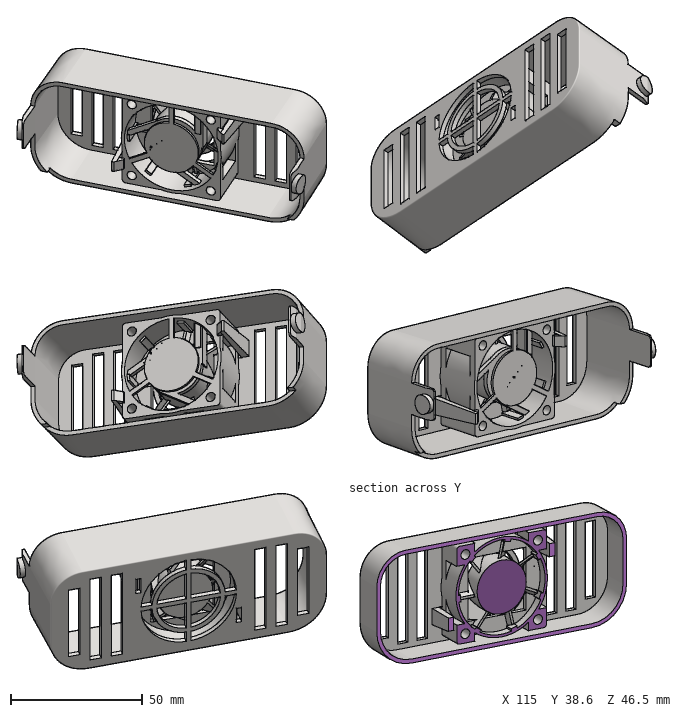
import cadquery as cq
import math


HALF_WIDTH = 55.3
HALF_HEIGHT = 23.29
TOP_RADIUS = 13.0
BOTTOM_RADIUS = 15.5
DEPTH = 26.5
DRAFT_ANGLE = 0.8
CAVITY_DRAFT_ANGLE = 1.2
WALL = 1.7
BACK_WALL = 2.1
BACK_EDGE_RADIUS = 0.5
LIP_CUT_Z = -18.4
LIP_CUT_DEPTH = 3.1
FLOOR_Y = DEPTH - BACK_WALL
DRAFT_SLOPE = math.tan(math.radians(DRAFT_ANGLE))

SLOT_WIDTH = 4.5
SLOT_PITCH = 8.5
LONG_SLOT = 37.7
SHORT_SLOT = 31.1
FIRST_SLOT_X = 28.5
SLOTS = [
    (FIRST_SLOT_X, LONG_SLOT),
    (FIRST_SLOT_X + SLOT_PITCH, LONG_SLOT),
    (FIRST_SLOT_X + 2 * SLOT_PITCH, SHORT_SLOT),
]

TAB_LENGTH = 12.1
TAB_HEIGHT = 12.5
TAB_TOP_Z = HALF_HEIGHT - TOP_RADIUS
TAB_MIDDLE_Z = TAB_TOP_Z - TAB_HEIGHT / 2
TAB_CORNER = 1.4
PIN_RADIUS = 3.8
PIN_Y = PIN_RADIUS - TAB_LENGTH
PIN_TIP_X = 57.5
TIP_BEVEL = 1.0

FAN_Z = 0.6
FAN_SIDE = 39.7
FAN_CORNER = 1.4
FAN_DEPTH = 20.0
FAN_FRONT_Y = FLOOR_Y - FAN_DEPTH
FLANGE = 3.0
BARREL_RADIUS = 20.2
BORE_RADIUS = 19.0
SCREW_SPACING = 32.0
SCREW_HOLE = 3.7
CORNER_COLUMN = 8.0
HUB_RADIUS = 10.9
GUARD_THICKNESS = 1.0
GUARD_BAR_WIDTH = 2.0
BAFFLE_Y = 16.8
BAFFLE_THICKNESS = 2.0
WINDOW_SIDE = 25.4
RIB_COUNT = 7
RIB_WIDTH = 2.8
RIB_INNER_RADIUS = 18.1
RIB_FRONT_Y = 7.4

MOUNT_Y = 7.8
MOUNT_THICKNESS = 2.0
MOUNT_BAR_WIDTH = 2.2
MOUNT_BAR_OFFSET = 9.8
CABLE_DUCT_WIDTH = 3.5
CABLE_DUCT_DEPTH = 4.6
CABLE_COVER_START = 6.7
CABLE_COVER_RISE = 0.7

BLADE_COUNT = RIB_COUNT
BLADE_TIP_RADIUS = 18.0
BLADE_PITCH = 47.0
BLADE_FRONT_Y = 15.4
BLADE_DEPTH = 6.3
BLADE_BAND = 1.0
BLADE_OFFSET = 1.7
BLADE_SWEEP = BLADE_DEPTH / math.tan(math.radians(BLADE_PITCH))
FIRST_BLADE_ANGLE = 77.3
FIT_GAP = 0.1

GRILLE_OUTER_RADIUS = 14.6
GRILLE_INNER_RADIUS = 12.7
SPOKE_WIDTH = 2.0

CLIP_Z = 11.6
CLIP_INNER_X = 21.0
CLIP_OUTER_X = 24.2
CLIP_HEIGHT = 6.5
CLIP_TIP_Y = 0.6
HOOK_HEIGHT = 4.3
HOOK_INNER_X = 19.0
HOOK_TIP_X = 21.9
HOOK_EDGE = 1.0
CLIP_TIP_OUTER_X = 22.8
POST_BLADE = 0.8
POST_LENGTH = FLANGE

SMALL_GRAIN = 0.1
LARGE_GRAIN = 0.5
GRAINS = [
    (-1.6, -1.6, 7.0, SMALL_GRAIN),
    (-3.7, -1.6, 5.1, SMALL_GRAIN),
    (-5.9, -2.1, 3.5, LARGE_GRAIN),
    (-6.8, -0.6, 1.2, SMALL_GRAIN),
    (-8.9, -1.7, 0.1, SMALL_GRAIN),
    (14.7, 13.8, 6.1, SMALL_GRAIN),
]


def block(x0, x1, y0, y1, z0, z1):
    """Box between two opposite corners."""
    return cq.Workplane("XY").box(x1 - x0, y1 - y0, z1 - z0, centered=False).translate((x0, y0, z0))


def facing_plane(y, z=0.0):
    """Sketch plane seen from the rim side; a negative extrusion goes toward the back wall."""
    return cq.Workplane("XZ", origin=(0, y, z))


def disc(radius, y0, y1):
    """Round disc on the fan axis."""
    return facing_plane(y0, FAN_Z).circle(radius).extrude(y0 - y1)


def turned_about_fan(body, angle):
    """Body turned counterclockwise, as seen from the rim, about the fan axis."""
    return body.rotate((0, 0, FAN_Z), (0, -1, FAN_Z), angle)


def radial_bar(width, y0, y1):
    """Bar from the fan axis straight up into the barrel."""
    middle_r = (BORE_RADIUS + BARREL_RADIUS) / 2
    return block(-width / 2, width / 2, y0, y1, FAN_Z, FAN_Z + middle_r)



def drafted_block(inset, depth, draft_angle):
    """Rounded block that narrows from the rim toward the back."""
    half_w = HALF_WIDTH - inset
    half_h = HALF_HEIGHT - inset
    top_r = TOP_RADIUS - inset
    bottom_r = BOTTOM_RADIUS - inset
    top_bend = top_r * (1 - math.sqrt(0.5))
    bottom_bend = bottom_r * (1 - math.sqrt(0.5))
    return (
        facing_plane(0)
        .moveTo(-half_w + top_r, half_h)
        .lineTo(half_w - top_r, half_h)
        .threePointArc((half_w - top_bend, half_h - top_bend), (half_w, half_h - top_r))
        .lineTo(half_w, -half_h + bottom_r)
        .threePointArc((half_w - bottom_bend, -half_h + bottom_bend), (half_w - bottom_r, -half_h))
        .lineTo(-half_w + bottom_r, -half_h)
        .threePointArc((-half_w + bottom_bend, -half_h + bottom_bend), (-half_w, -half_h + bottom_r))
        .lineTo(-half_w, half_h - top_r)
        .threePointArc((-half_w + top_bend, half_h - top_bend), (-half_w + top_r, half_h))
        .close()
        .extrude(-depth, taper=draft_angle)
    )


def shell():
    """Open box with a shortened lower lip."""
    body = drafted_block(0, DEPTH, DRAFT_ANGLE).faces(">Y").edges().fillet(BACK_EDGE_RADIUS)
    body = body.cut(drafted_block(WALL, FLOOR_Y, CAVITY_DRAFT_ANGLE))
    lip = block(-HALF_WIDTH, HALF_WIDTH, 0, LIP_CUT_DEPTH, -HALF_HEIGHT, LIP_CUT_Z)
    return body.cut(lip)


def right_tab():
    """Tab that carries on the drafted side wall, with a pin; both tips are bevelled outward."""
    end_y = -TAB_LENGTH
    bevel_start_x = HALF_WIDTH - PIN_Y * DRAFT_SLOPE
    inner_root_x = HALF_WIDTH - WALL
    inner_end_x = inner_root_x + TAB_LENGTH * DRAFT_SLOPE
    tab = (
        cq.Workplane("XY", origin=(0, 0, TAB_TOP_Z - TAB_HEIGHT))
        .polyline([
            (inner_root_x, 0),
            (HALF_WIDTH, 0),
            (bevel_start_x, PIN_Y),
            (bevel_start_x - TIP_BEVEL, end_y),
            (inner_end_x, end_y),
        ])
        .close()
        .extrude(TAB_HEIGHT)
    )
    rounded_outline = (
        cq.Workplane("YZ")
        .center(end_y + DEPTH / 2, TAB_MIDDLE_Z)
        .rect(DEPTH, TAB_HEIGHT)
        .extrude(PIN_TIP_X)
        .edges("|X and <Y")
        .fillet(TAB_CORNER)
    )
    pin = (
        cq.Workplane("YZ", origin=(HALF_WIDTH - WALL / 2, PIN_Y, TAB_MIDDLE_Z))
        .circle(PIN_RADIUS)
        .extrude(PIN_TIP_X - HALF_WIDTH + WALL / 2)
    )
    pin_bevel = (
        cq.Workplane("XY", origin=(0, 0, TAB_MIDDLE_Z))
        .polyline([(PIN_TIP_X, PIN_Y), (PIN_TIP_X, end_y), (PIN_TIP_X - TIP_BEVEL, end_y)])
        .close()
        .extrude(PIN_RADIUS, both=True)
    )
    inside = block(0, inner_end_x, end_y, 0, -HALF_HEIGHT, HALF_HEIGHT)
    return tab.intersect(rounded_outline).union(pin.cut(pin_bevel).cut(inside))


def right_clip():
    """Tapered arm beside the fan with a hook over its front face and a sloped lead-in."""
    base_width = CLIP_OUTER_X - CLIP_INNER_X
    tip_width = CLIP_TIP_OUTER_X - CLIP_INNER_X
    arm = (
        facing_plane(FLOOR_Y, CLIP_Z)
        .center(CLIP_INNER_X + base_width / 2, 0)
        .rect(base_width, CLIP_HEIGHT)
        .workplane(offset=FLOOR_Y - CLIP_TIP_Y)
        .center((tip_width - base_width) / 2, 0)
        .rect(tip_width, HOOK_HEIGHT)
        .loft(combine=True)
    )
    hook = (
        cq.Workplane("XY", origin=(0, 0, CLIP_Z - HOOK_HEIGHT / 2))
        .polyline([
            (HOOK_INNER_X, FAN_FRONT_Y),
            (HOOK_TIP_X, FAN_FRONT_Y),
            (HOOK_TIP_X, CLIP_TIP_Y),
            (HOOK_INNER_X, FAN_FRONT_Y - HOOK_EDGE),
        ])
        .close()
        .extrude(HOOK_HEIGHT)
    )
    ramp = (
        cq.Workplane("XY", origin=(0, 0, CLIP_Z - CLIP_HEIGHT / 2))
        .polyline([
            (HOOK_INNER_X, FAN_FRONT_Y - HOOK_EDGE),
            (HOOK_TIP_X, CLIP_TIP_Y),
            (HOOK_INNER_X, CLIP_TIP_Y),
        ])
        .close()
        .extrude(CLIP_HEIGHT)
    )
    return arm.union(hook).cut(ramp)


def clip_window():
    """Opening in the back wall below the hook."""
    half = CLIP_HEIGHT / 2
    return block(HOOK_INNER_X, CLIP_INNER_X, FLOOR_Y, DEPTH, CLIP_Z - half, CLIP_Z + half)


def locating_post(x, z):
    """Cross-shaped post that fills a screw hole of the rear fan flange."""
    root_y = FLOOR_Y + BACK_WALL / 2
    length = root_y - FLOOR_Y + POST_LENGTH
    bars = facing_plane(root_y).center(x, z).rect(SCREW_HOLE, POST_BLADE).extrude(length)
    bars = bars.union(facing_plane(root_y).center(x, z).rect(POST_BLADE, SCREW_HOLE).extrude(length))
    return bars.intersect(facing_plane(root_y).center(x, z).circle(SCREW_HOLE / 2).extrude(length))


def half_turn(body):
    """Body moved to the opposite side of the fan axis."""
    return turned_about_fan(body, 180)


def fan_grille():
    """Ring on a cross of spokes in the round opening of the back wall."""
    grille = disc(GRILLE_OUTER_RADIUS, FLOOR_Y, DEPTH).cut(disc(GRILLE_INNER_RADIUS, FLOOR_Y, DEPTH))
    for angle in (0, 90, 180, 270):
        grille = grille.union(turned_about_fan(radial_bar(SPOKE_WIDTH, FLOOR_Y, DEPTH), angle))
    return grille


def make_housing():
    body = shell()
    tab = right_tab()
    body = body.union(tab).union(tab.mirror("YZ"))
    for distance, length in SLOTS:
        for x in (-distance, distance):
            body = body.cut(
                facing_plane(FLOOR_Y).center(x, 0).rect(SLOT_WIDTH, length).extrude(-BACK_WALL)
            )
    body = body.cut(disc(BORE_RADIUS, FLOOR_Y, DEPTH)).union(fan_grille())
    clip = right_clip()
    body = body.cut(clip_window()).cut(half_turn(clip_window()))
    body = body.union(clip).union(half_turn(clip))
    reach = SCREW_SPACING / 2
    body = body.union(locating_post(-reach, FAN_Z + reach))
    return body.union(locating_post(reach, FAN_Z - reach))



def square_plate(y, thickness):
    return (
        facing_plane(y, FAN_Z)
        .rect(FAN_SIDE, FAN_SIDE)
        .extrude(-thickness)
        .edges("|Y")
        .fillet(FAN_CORNER)
    )


def corner_columns():
    """Square columns around the screw holes, joining the two flanges."""
    spacing = FAN_SIDE - CORNER_COLUMN
    columns = (
        facing_plane(FAN_FRONT_Y, FAN_Z)
        .rect(spacing, spacing, forConstruction=True)
        .vertices()
        .rect(CORNER_COLUMN, CORNER_COLUMN)
        .extrude(-FAN_DEPTH)
    )
    return columns.intersect(square_plate(FAN_FRONT_Y, FAN_DEPTH))


def bore_ribs():
    """Low ribs along the bore, from the motor mount to the baffle."""
    low_z = FAN_Z + BLADE_OFFSET + BLADE_BAND - RIB_WIDTH
    rib = block(0, BARREL_RADIUS, RIB_FRONT_Y, BAFFLE_Y, low_z, low_z + RIB_WIDTH)
    ring = disc((BORE_RADIUS + BARREL_RADIUS) / 2, RIB_FRONT_Y, BAFFLE_Y)
    ring = ring.cut(disc(RIB_INNER_RADIUS, RIB_FRONT_Y, BAFFLE_Y))
    ribs = cq.Workplane("XY")
    for index in range(RIB_COUNT):
        ribs = ribs.union(turned_about_fan(rib, FIRST_BLADE_ANGLE + index * 360 / RIB_COUNT))
    return ribs.intersect(ring)


def front_guard():
    back_y = FAN_FRONT_Y + GUARD_THICKNESS
    guard = disc(HUB_RADIUS, FAN_FRONT_Y, back_y)
    bar = radial_bar(GUARD_BAR_WIDTH, FAN_FRONT_Y, back_y)
    for angle in (0, 120, 240):
        guard = guard.union(turned_about_fan(bar, angle))
    return guard


def motor_mount():
    back_y = MOUNT_Y + MOUNT_THICKNESS
    mount = disc(HUB_RADIUS, MOUNT_Y, back_y)
    bar = radial_bar(MOUNT_BAR_WIDTH, MOUNT_Y, back_y).translate((MOUNT_BAR_OFFSET, 0, 0))
    for angle in (0, 120, 240):
        mount = mount.union(turned_about_fan(bar, angle))
    duct = radial_bar(CABLE_DUCT_WIDTH, MOUNT_Y, MOUNT_Y + CABLE_DUCT_DEPTH)
    duct = duct.translate((MOUNT_BAR_OFFSET, 0, 0)).cut(disc(HUB_RADIUS + FIT_GAP, back_y, FLOOR_Y))
    cover = radial_bar(MOUNT_BAR_WIDTH, MOUNT_Y - CABLE_COVER_RISE, MOUNT_Y)
    cover = cover.translate((MOUNT_BAR_OFFSET, 0, 0))
    below_cover = block(
        0, BORE_RADIUS, MOUNT_Y - CABLE_COVER_RISE, MOUNT_Y, FAN_Z, FAN_Z + CABLE_COVER_START
    )
    mount = mount.union(duct).union(cover.cut(below_cover))
    return mount.intersect(disc((BORE_RADIUS + BARREL_RADIUS) / 2, FAN_FRONT_Y, FLOOR_Y))


def make_fan_frame():
    """Two square flanges on a barrel, with baffle, front guard and motor mount inside."""
    body = disc(BARREL_RADIUS, FAN_FRONT_Y, FLOOR_Y)
    body = body.union(square_plate(FAN_FRONT_Y, FLANGE))
    body = body.union(square_plate(FLOOR_Y - FLANGE, FLANGE))
    body = body.union(corner_columns())
    body = body.cut(disc(BORE_RADIUS, FAN_FRONT_Y, FLOOR_Y)).union(bore_ribs())
    baffle = disc((BORE_RADIUS + BARREL_RADIUS) / 2, BAFFLE_Y, BAFFLE_Y + BAFFLE_THICKNESS)
    window = facing_plane(BAFFLE_Y, FAN_Z).rect(WINDOW_SIDE, WINDOW_SIDE).extrude(-BAFFLE_THICKNESS)
    body = body.union(baffle.cut(window)).union(front_guard()).union(motor_mount())
    holes = (
        facing_plane(FAN_FRONT_Y, FAN_Z)
        .rect(SCREW_SPACING, SCREW_SPACING, forConstruction=True)
        .vertices()
        .circle(SCREW_HOLE / 2)
        .extrude(-FAN_DEPTH)
    )
    return body.cut(holes)



def blade():
    """Flat slanted blade along the +X side of the hub."""
    root_z = FAN_Z + BLADE_OFFSET
    back_y = BLADE_FRONT_Y + BLADE_DEPTH
    return (
        cq.Workplane("YZ")
        .polyline([
            (BLADE_FRONT_Y, root_z),
            (BLADE_FRONT_Y, root_z + BLADE_BAND),
            (back_y, root_z + BLADE_BAND - BLADE_SWEEP),
            (back_y, root_z - BLADE_SWEEP),
        ])
        .close()
        .extrude(BORE_RADIUS)
    )


def make_rotor():
    """Hub with blades whose rear parts are trimmed to pass through the baffle window."""
    back_y = BLADE_FRONT_Y + BLADE_DEPTH
    body = disc(HUB_RADIUS, MOUNT_Y + MOUNT_THICKNESS, back_y)
    for index in range(BLADE_COUNT):
        body = body.union(turned_about_fan(blade(), FIRST_BLADE_ANGLE + index * 360 / BLADE_COUNT))
    fitting_side = WINDOW_SIDE - 2 * FIT_GAP
    envelope = disc(BLADE_TIP_RADIUS, FAN_FRONT_Y, BAFFLE_Y).union(
        facing_plane(BAFFLE_Y, FAN_Z).rect(fitting_side, fitting_side).extrude(BAFFLE_Y - back_y)
    )
    return body.intersect(envelope)



def make_grain(x, y, z, size):
    return cq.Workplane("XY").box(size, size, size).translate((x, y, z))


housing = make_housing()
fan_frame = make_fan_frame()
rotor = make_rotor()
grains = [make_grain(*grain).val() for grain in GRAINS]

result = cq.Compound.makeCompound([housing.val(), fan_frame.val(), rotor.val(), *grains])